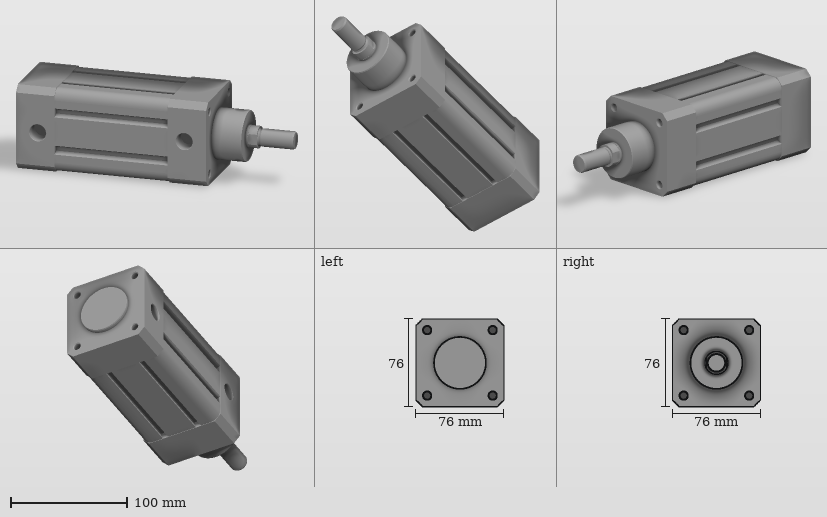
import cadquery as cq
import math

TOTAL_LENGTH = 244.0

CAP_SIDE = 76.0
CAP_LENGTH = 34.6
CAP_CORNER_CHAMFER = 5.9
REAR_BOSS_LENGTH = 4.0
FRONT_BOSS_LENGTH = 26.5
BOSS_DIAMETER = 45.1
BOSS_CHAMFER_LENGTH = 1.0
BOSS_CHAMFER_DROP = 0.5

BARREL_SIDE = 75.2
BARREL_LENGTH = 102.0
BARREL_CORNER_RADIUS = 9.5

SLOT_WIDTH = 5.1
SLOT_LIP = 1.5
SLOT_UNDERCUT = 1.5
SLOT_DEPTH = 5.9
SLOT_OFFSET = 16.0
GROOVE_MOUTH = 8.0
GROOVE_FLOOR = 4.0
GROOVE_DEPTH = 5.1
GROOVE_OFFSET = 16.8

MOUNT_HOLE_RADIUS = 3.2
MOUNT_HOLE_DEPTH = 19.5
MOUNT_HOLE_CHAMFER = 0.7
MOUNT_HOLE_PITCH = 56.4

PORT_RADIUS = 7.3
PORT_CHAMFER = 0.5
PORT_DEPTH = 14.6
REAR_PORT_X = 23.5
FRONT_PORT_X = 155.5
PORT_HEIGHT = 2.5

ROD_RADIUS = 10.0
COLLAR_START = 203.7
COLLAR_RADIUS = 9.8
FLAT_WIDTH = 17.0
COLLAR_END = 211.8
TIP_DIAMETER = 15.9
NECK_LENGTH = 3.0
NECK_DEPTH = 0.7
TIP_CHAMFER_LENGTH = 1.5
TIP_CHAMFER_DROP = 0.7

REAR_CAP_START = REAR_BOSS_LENGTH
BARREL_START = REAR_CAP_START + CAP_LENGTH
BARREL_END = BARREL_START + BARREL_LENGTH
FRONT_CAP_END = BARREL_END + CAP_LENGTH


def x_plane(x):
    """Plane across the axis at x, local axes along world Y and Z, facing +X."""
    return cq.Workplane("YZ", origin=(x, 0, 0))


def revolve_about_x(profile):
    """Turned solid from a closed list of (x, radius) points."""
    return cq.Workplane("XY").polyline(profile).close().revolve(360, (0, 0, 0), (1, 0, 0))


def countersunk_cutter(start, direction, radius, depth, chamfer):
    """Blind round cutter whose mouth widens by the chamfer at the start point."""
    hole = cq.Solid.makeCylinder(radius, depth, start, direction)
    mouth = cq.Solid.makeCone(radius + chamfer, radius, chamfer, start, direction)
    return hole.fuse(mouth)


def cap_block(start):
    """Square block with chamfered long corners."""
    block = x_plane(start).rect(CAP_SIDE, CAP_SIDE).extrude(CAP_LENGTH)
    return block.edges("|X").chamfer(CAP_CORNER_CHAMFER)


def turned_boss(base_x, end_x, outward):
    """Round boss from base_x to a chamfered end at end_x; outward is +1 or -1 along X."""
    radius = BOSS_DIAMETER / 2
    profile = [
        (base_x, 0),
        (base_x, radius),
        (end_x - outward * BOSS_CHAMFER_LENGTH, radius),
        (end_x, radius - BOSS_CHAMFER_DROP),
        (end_x, 0),
    ]
    return revolve_about_x(profile)


def cut_mount_holes(cap, face_x, inward):
    """Cut four countersunk holes into the outer face; inward is +1 or -1 along X."""
    for y_sign in (-1, 1):
        for z_sign in (-1, 1):
            start = cq.Vector(face_x, y_sign * MOUNT_HOLE_PITCH / 2, z_sign * MOUNT_HOLE_PITCH / 2)
            cap = cap.cut(countersunk_cutter(start, cq.Vector(inward, 0, 0),
                                             MOUNT_HOLE_RADIUS, MOUNT_HOLE_DEPTH,
                                             MOUNT_HOLE_CHAMFER))
    return cap


def cut_port(cap, x, z):
    """Cut an air port into the -Y face."""
    start = cq.Vector(x, -CAP_SIDE / 2, z)
    return cap.cut(countersunk_cutter(start, cq.Vector(0, 1, 0),
                                      PORT_RADIUS, PORT_DEPTH, PORT_CHAMFER))


def make_rear_cap():
    boss = turned_boss(REAR_CAP_START, 0, -1)
    cap = cap_block(REAR_CAP_START).union(boss)
    cap = cut_mount_holes(cap, REAR_CAP_START, 1)
    return cut_port(cap, REAR_PORT_X, -PORT_HEIGHT)


def make_front_cap():
    boss = turned_boss(FRONT_CAP_END, FRONT_CAP_END + FRONT_BOSS_LENGTH, 1)
    cap = cap_block(BARREL_END).union(boss)
    cap = cut_mount_holes(cap, FRONT_CAP_END, -1)
    cap = cut_port(cap, FRONT_PORT_X, PORT_HEIGHT)
    rod_bore = x_plane(BARREL_END).circle(ROD_RADIUS).extrude(CAP_LENGTH + FRONT_BOSS_LENGTH)
    return cap.cut(rod_bore)


def slot_cutter(y):
    """T-slot in the top face, centred at y: a narrow mouth over a wider cavity."""
    cavity_width = SLOT_WIDTH + 2 * SLOT_UNDERCUT
    cavity_height = SLOT_DEPTH - SLOT_LIP
    floor_z = BARREL_SIDE / 2 - SLOT_DEPTH
    mouth = x_plane(BARREL_START).center(y, floor_z + SLOT_DEPTH / 2)
    mouth = mouth.rect(SLOT_WIDTH, SLOT_DEPTH).extrude(BARREL_LENGTH)
    cavity = x_plane(BARREL_START).center(y, floor_z + cavity_height / 2)
    cavity = cavity.rect(cavity_width, cavity_height).extrude(BARREL_LENGTH)
    return mouth.union(cavity)


def groove_cutter(z):
    """Groove in the -Y face, centred at z, narrowing toward its floor."""
    mouth_y = -BARREL_SIDE / 2
    floor_y = mouth_y + GROOVE_DEPTH
    groove = x_plane(BARREL_START).polyline([
        (mouth_y, z - GROOVE_MOUTH / 2),
        (mouth_y, z + GROOVE_MOUTH / 2),
        (floor_y, z + GROOVE_FLOOR / 2),
        (floor_y, z - GROOVE_FLOOR / 2),
    ])
    return groove.close().extrude(BARREL_LENGTH)


def make_barrel():
    barrel = x_plane(BARREL_START).rect(BARREL_SIDE, BARREL_SIDE).extrude(BARREL_LENGTH)
    barrel = barrel.edges("|X").fillet(BARREL_CORNER_RADIUS)
    for side in (-1, 1):
        slot = slot_cutter(side * SLOT_OFFSET)
        barrel = barrel.cut(slot).cut(slot.mirror("XY"))
        groove = groove_cutter(side * GROOVE_OFFSET)
        barrel = barrel.cut(groove).cut(groove.mirror("XZ"))
    return barrel


def make_rod():
    tip_radius = TIP_DIAMETER / 2
    profile = [
        (BARREL_END, 0),
        (BARREL_END, ROD_RADIUS),
        (COLLAR_START, ROD_RADIUS),
        (COLLAR_START, COLLAR_RADIUS),
        (COLLAR_END, COLLAR_RADIUS),
        (COLLAR_END, tip_radius),
        (COLLAR_END + NECK_LENGTH / 2, tip_radius - NECK_DEPTH),
        (COLLAR_END + NECK_LENGTH, tip_radius),
        (TOTAL_LENGTH - TIP_CHAMFER_LENGTH, tip_radius),
        (TOTAL_LENGTH, tip_radius - TIP_CHAMFER_DROP),
        (TOTAL_LENGTH, 0),
    ]
    rod = revolve_about_x(profile)
    flat_y = FLAT_WIDTH / 2
    flat_depth = ROD_RADIUS - flat_y
    round_middle = (
        COLLAR_START + flat_depth * (1 - math.cos(math.pi / 4)),
        ROD_RADIUS - flat_depth * math.sin(math.pi / 4),
    )
    flat_cutter = (
        cq.Workplane("XY")
        .moveTo(COLLAR_START, ROD_RADIUS)
        .threePointArc(round_middle, (COLLAR_START + flat_depth, flat_y))
        .lineTo(COLLAR_END, flat_y)
        .lineTo(COLLAR_END, ROD_RADIUS)
        .close()
        .extrude(ROD_RADIUS, both=True)
    )
    return rod.cut(flat_cutter).cut(flat_cutter.mirror("XZ"))


rear_cap = make_rear_cap()
barrel = make_barrel()
front_cap = make_front_cap()
rod = make_rod()

result = cq.Compound.makeCompound([
    rear_cap.val(),
    barrel.val(),
    front_cap.val(),
    rod.val(),
])